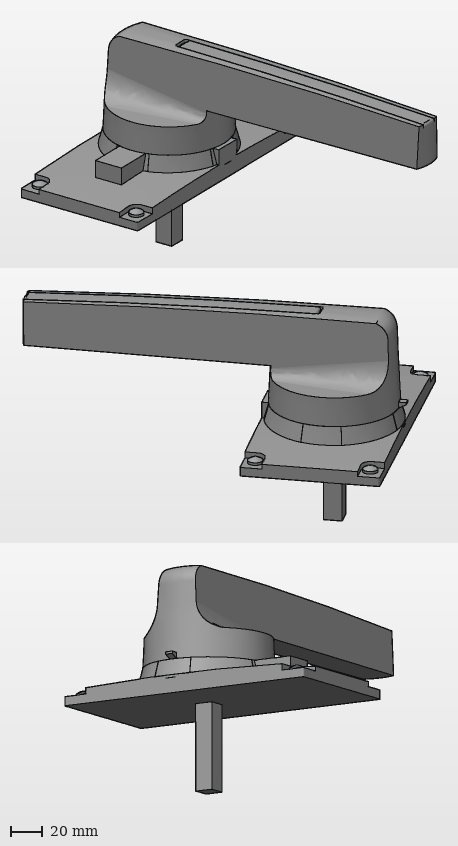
import cadquery as cq
import math


plate_length_x = 90.0
plate_length_y = 179.9
plate_center_y = -10.0
plate_edge_z = 9.1
plate_crown_z = 11.8
plate_corner_radius = 1.2

screw_pitch_x = 74.0
screw_pitch_y = 159.9
screw_radius = 5.0
screw_side_height = 1.7
screw_dome_height = 2.0
pocket_radius = 6.2
pocket_floor_z = 6.0

collar_bottom_radius = 45.5
collar_top_radius = 42.0
collar_bottom_z = 9.9
collar_top_z = 22.5
label_half_angle = 17.0
label_depth = 0.2
block_width = 20.0
block_reach_y = 67.5

shaft_width = 12.0
shaft_bottom_z = -56.3

knob_bottom_z = collar_top_z
knob_shoulder_z = 41.7
knob_bottom_radius = 42.0
knob_draft = 0.045
knob_edge_radius = 12.3

grip_bottom_z = 49.3
grip_root_half_width = 14.5
grip_narrowing = 0.016
grip_draft = 0.058
grip_end_x = 200.0
grip_end_corner_x = 197.5
grip_end_corner_y = 12.0
grip_top_z = 84.1
grip_top_radius = 3750.1
grip_crown_drop = 1.5
grip_blank_half_width = 17.3
blank_margin = 5.0
blank_top_z = grip_top_z + blank_margin
cap_spare_angle = 0.1

channel_start_x = 8.5
channel_half_width = 6.0
channel_depth = 2.2
channel_corner_radius = 1.5
strip_gap = 1.7
strip_recess = 0.2
strip_end_radius = 2.0

blend_run_middle = 11.5
blend_run_slope = 0.15
blend_reach_x = 44.5

pointer_tip_x = -46.6
pointer_width = 5.0
pointer_top_z = 26.5
pointer_tip_z = 25.0
pointer_embed = 2.5


def box(x0, x1, y0, y1, z0, z1):
    """Axis-aligned block between the given limits."""
    return cq.Workplane("XY").box(x1 - x0, y1 - y0, z1 - z0, centered=False).translate((x0, y0, z0))


def knob_radius(z):
    """Radius of the knob's cone at height z."""
    return knob_bottom_radius - knob_draft * (z - knob_bottom_z)


def grip_half_width(x, z):
    """Half of the grip's width at length x and height z."""
    return grip_root_half_width - grip_narrowing * x - grip_draft * (z - grip_bottom_z)


def cone(bottom_radius, top_radius, z0, z1):
    """Cone frustum about the Z axis."""
    outline = [(0, z0), (bottom_radius, z0), (top_radius, z1), (0, z1)]
    return cq.Workplane("XZ").polyline(outline).close().revolve(360, (0, 0), (0, 1))



def make_crowned_slab():
    """Slab whose top is a shallow arch across Y."""
    half_y = plate_length_y / 2
    return (
        cq.Workplane("YZ", origin=(-plate_length_x / 2, plate_center_y, 0))
        .moveTo(-half_y, 0)
        .lineTo(half_y, 0)
        .lineTo(half_y, plate_edge_z)
        .threePointArc((0, plate_crown_z), (-half_y, plate_edge_z))
        .close()
        .extrude(plate_length_x)
        .edges("|Z")
        .fillet(plate_corner_radius)
    )


def make_corner_pocket(side_x, side_y):
    """Cutter for one corner pocket, rounded about the screw on its inner corner."""
    inner_x = screw_pitch_x / 2 - pocket_radius
    inner_y = screw_pitch_y / 2 - pocket_radius
    size_x = plate_length_x / 2
    size_y = plate_length_y / 2
    return (
        cq.Workplane("XY")
        .rect(size_x, size_y)
        .extrude(plate_crown_z)
        .edges("|Z")
        .fillet(pocket_radius)
        .translate((
            side_x * (inner_x + size_x / 2),
            plate_center_y + side_y * (inner_y + size_y / 2),
            pocket_floor_z,
        ))
    )


def make_screw_head(side_x, side_y):
    """Round screw head with a domed top, standing on the pocket floor."""
    top_z = screw_side_height + screw_dome_height
    mid_radius = screw_radius / 2
    sphere_radius = (screw_radius**2 + screw_dome_height**2) / (2 * screw_dome_height)
    mid_z = top_z - sphere_radius + math.sqrt(sphere_radius**2 - mid_radius**2)
    return (
        cq.Workplane("XZ")
        .lineTo(screw_radius, 0)
        .lineTo(screw_radius, screw_side_height)
        .threePointArc((mid_radius, mid_z), (0, top_z))
        .close()
        .revolve(360, (0, 0), (0, 1))
        .translate((
            side_x * screw_pitch_x / 2,
            plate_center_y + side_y * screw_pitch_y / 2,
            pocket_floor_z,
        ))
    )


def make_label_windows():
    """Cutter for four shallow windows in the collar, centered on the X and Y directions."""
    skin = cone(collar_bottom_radius, collar_top_radius, collar_bottom_z, collar_top_z).cut(
        cone(
            collar_bottom_radius - label_depth, collar_top_radius - label_depth,
            collar_bottom_z, collar_top_z,
        )
    )
    reach = plate_length_x
    half_spread = reach * math.tan(math.radians(label_half_angle))
    wedge = (
        cq.Workplane("XY")
        .polyline([(0, 0), (reach, -half_spread), (reach, half_spread)])
        .close()
        .extrude(collar_top_z)
    )
    window = skin.intersect(wedge)
    windows = window
    for quarter in range(1, 4):
        windows = windows.union(window.rotate((0, 0, 0), (0, 0, 1), 90 * quarter))
    return windows


def make_label_blocks():
    """Two blocks level with the collar, toward -Y and toward +X."""
    half = block_width / 2
    front_block = box(-half, half, -block_reach_y, 0, collar_bottom_z, collar_top_z)
    end_block = box(0, plate_length_x / 2, -half, half, collar_bottom_z, collar_top_z)
    return front_block.union(end_block)


def make_plate():
    plate = make_crowned_slab()
    for side_x in (-1, 1):
        for side_y in (-1, 1):
            plate = plate.cut(make_corner_pocket(side_x, side_y))
            plate = plate.union(make_screw_head(side_x, side_y))
    collar = cone(collar_bottom_radius, collar_top_radius, collar_bottom_z, collar_top_z)
    plate = plate.union(collar.cut(make_label_windows()))
    plate = plate.union(make_label_blocks())
    shaft_hole = cq.Workplane("XY").rect(shaft_width, shaft_width).extrude(collar_top_z)
    return plate.cut(shaft_hole)



def make_shaft():
    """Square shaft that passes through the plate and meets the knob."""
    return (
        cq.Workplane("XY", origin=(0, 0, shaft_bottom_z))
        .rect(shaft_width, shaft_width)
        .extrude(collar_top_z - shaft_bottom_z)
    )



def make_tapered_bar():
    """Bar with drafted, converging sides, from the knob's closed end to the grip's end."""
    start_x = -blend_reach_x
    end_x = grip_end_x

    def half_section(z):
        root = grip_half_width(start_x, z)
        tip = grip_half_width(end_x, z)
        return [(start_x, -root, z), (end_x, -tip, z), (end_x, tip, z), (start_x, root, z)]

    lower = half_section(knob_shoulder_z)
    upper = half_section(blank_top_z)
    rings = [lower, upper]
    for i in range(4):
        j = (i + 1) % 4
        rings.append([lower[i], lower[j], upper[j], upper[i]])
    faces = []
    for ring in rings:
        wire = cq.Wire.makePolygon([cq.Vector(*point) for point in ring], close=True)
        faces.append(cq.Face.makeFromWires(wire))
    return cq.Workplane(cq.Solid.makeSolid(cq.Shell.makeShell(faces)))


def make_arm_limit():
    """Room for the grip ahead of the knob, closed by a convex end face."""
    return (
        cq.Workplane("XY", origin=(0, 0, grip_bottom_z))
        .moveTo(0, -grip_blank_half_width)
        .lineTo(grip_end_corner_x, -grip_end_corner_y)
        .threePointArc((grip_end_x, 0), (grip_end_corner_x, grip_end_corner_y))
        .lineTo(0, grip_blank_half_width)
        .close()
        .extrude(blank_top_z - grip_bottom_z)
    )


def make_knob_cone(top_z):
    """Cone of the knob from its underside up to the given height."""
    return cone(knob_bottom_radius, knob_radius(top_z), knob_bottom_z, top_z)


def make_knob_limit():
    """The knob's cone up to the top of the grip, with its top edge rounded."""
    return make_knob_cone(grip_top_z).faces(">Z").edges().fillet(knob_edge_radius)


def make_blend(side):
    """Concave blend along one side of the grip, as a ruled solid between two end sections."""
    draft_angle = math.atan(grip_draft)
    sections = []
    for x in (-blend_reach_x, blend_reach_x):
        run = blend_run_middle - blend_run_slope * x
        foot = grip_half_width(x, knob_shoulder_z)
        wall_y = foot - run * math.sin(draft_angle)
        wall_z = knob_shoulder_z + run * math.cos(draft_angle)
        corner = cq.Vector(x, side * foot, knob_shoulder_z)
        on_wall = cq.Vector(x, side * wall_y, wall_z)
        on_shoulder = cq.Vector(x, side * (foot + run), knob_shoulder_z)
        arc = cq.Edge.makeTangentArc(on_wall, corner - on_wall, on_shoulder)
        sections.append(cq.Wire.assembleEdges([
            cq.Edge.makeLine(corner, on_wall),
            arc,
            cq.Edge.makeLine(on_shoulder, corner),
        ]))
    return cq.Workplane(cq.Solid.makeLoft(sections, True))


def make_crown_cap(drop):
    """Solid below the grip's top surface, arched across Y and gently falling along X."""
    half_width = grip_blank_half_width
    top_z = grip_top_z - drop
    axis_z = grip_top_z - grip_top_radius
    start_angle = math.degrees(blend_reach_x / grip_top_radius) + cap_spare_angle
    end_angle = math.degrees(grip_end_x / grip_top_radius) + cap_spare_angle
    return (
        cq.Workplane("YZ")
        .moveTo(-half_width, 0)
        .lineTo(half_width, 0)
        .lineTo(half_width, top_z - grip_crown_drop)
        .threePointArc((0, top_z), (-half_width, top_z - grip_crown_drop))
        .close()
        .revolve(start_angle + end_angle, (0, axis_z), (1, axis_z))
        .rotate((0, 0, axis_z), (0, 1, axis_z), -start_angle)
    )


def make_channel():
    """Cutter for the channel, which follows the grip's top and runs out through its end."""
    blank = box(
        channel_start_x, grip_end_x + blank_margin,
        -channel_half_width, channel_half_width,
        grip_bottom_z, blank_top_z,
    )
    return blank.edges("|Z and <X").fillet(channel_corner_radius).cut(make_crown_cap(channel_depth))


def make_strip():
    """Strip in the channel with both ends rounded over, a small gap behind the channel's start."""
    blank = box(
        channel_start_x + strip_gap, grip_end_x,
        -channel_half_width, channel_half_width,
        grip_bottom_z, blank_top_z,
    )
    strip = blank.intersect(make_arm_limit()).intersect(make_crown_cap(strip_recess))
    crowned_end_edges = strip.edges("%BSPLINE")
    return crowned_end_edges.fillet(strip_end_radius)


def make_pointer():
    """Small wedge that sticks out of the knob toward -X."""
    outline = [
        (-knob_bottom_radius + pointer_embed, knob_bottom_z),
        (-knob_bottom_radius, knob_bottom_z),
        (pointer_tip_x, pointer_tip_z),
        (pointer_tip_x, pointer_top_z),
        (-knob_bottom_radius + pointer_embed, pointer_top_z),
    ]
    return cq.Workplane("XZ").polyline(outline).close().extrude(pointer_width / 2, both=True)


def make_handle():
    limit = make_knob_limit().union(make_arm_limit())
    grip = make_tapered_bar().intersect(limit).intersect(make_crown_cap(0))
    grip = grip.cut(make_channel()).union(make_strip())
    handle = make_knob_cone(knob_shoulder_z).union(grip)
    for side in (-1, 1):
        handle = handle.union(make_blend(side).intersect(make_knob_limit()))
    return handle.union(make_pointer())



plate = make_plate()
shaft = make_shaft()
handle = make_handle()

result = cq.Compound.makeCompound([plate.val(), shaft.val(), handle.val()])